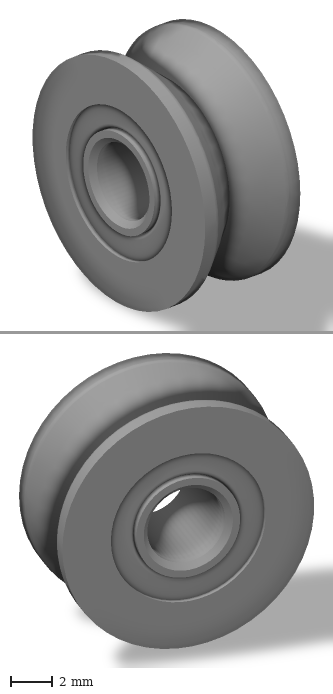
import cadquery as cq

outer_diameter = 13.0
width = 6.0
corner_to_face = 0.8
groove_root_diameter = 9.52
rim_round = 0.3

recess_diameter = 8.0
recess_depth = 0.25
lip_diameter = 5.86
ring_diameter = 5.35
bore_diameter = 4.0
bore_chamfer = 0.3

half_width = width / 2
lip_round = (lip_diameter - ring_diameter) / 2


def make_rim_and_groove():
    """Roller body with a V groove, revolved about Y."""
    outer_radius = outer_diameter / 2
    corner_y = half_width - corner_to_face
    body = (
        cq.Workplane("XY")
        .moveTo(0, -half_width)
        .lineTo(outer_radius, -half_width)
        .lineTo(outer_radius, -corner_y)
        .lineTo(groove_root_diameter / 2, 0)
        .lineTo(outer_radius, corner_y)
        .lineTo(outer_radius, half_width)
        .lineTo(0, half_width)
        .close()
        .revolve(360, (0, 0, 0), (0, 1, 0))
    )
    return body.edges("%CIRCLE").edges(">>Y[-2] or <<Y[-2]").fillet(rim_round)


def make_face_recess():
    """Material removed around the bearing ring on the +Y face."""
    recess_floor = half_width - recess_depth
    ring_radius = ring_diameter / 2
    lip_middle = lip_round * 0.5 ** 0.5
    return (
        cq.Workplane("XY")
        .moveTo(ring_radius, half_width)
        .lineTo(ring_radius, recess_floor - lip_round)
        .threePointArc(
            (lip_diameter / 2 - lip_middle, recess_floor - lip_round + lip_middle),
            (lip_diameter / 2, recess_floor),
        )
        .lineTo(recess_diameter / 2, recess_floor)
        .lineTo(recess_diameter / 2, half_width)
        .close()
        .revolve(360, (0, 0, 0), (0, 1, 0))
    )


def make_bore():
    """Through bore, chamfered at both ends."""
    bore_radius = bore_diameter / 2
    mouth_radius = bore_radius + bore_chamfer
    chamfer_y = half_width - bore_chamfer
    return (
        cq.Workplane("XY")
        .moveTo(0, -half_width)
        .lineTo(mouth_radius, -half_width)
        .lineTo(bore_radius, -chamfer_y)
        .lineTo(bore_radius, chamfer_y)
        .lineTo(mouth_radius, half_width)
        .lineTo(0, half_width)
        .close()
        .revolve(360, (0, 0, 0), (0, 1, 0))
    )


face_recess = make_face_recess()
result = (
    make_rim_and_groove()
    .cut(face_recess)
    .cut(face_recess.mirror("XZ"))
    .cut(make_bore())
)